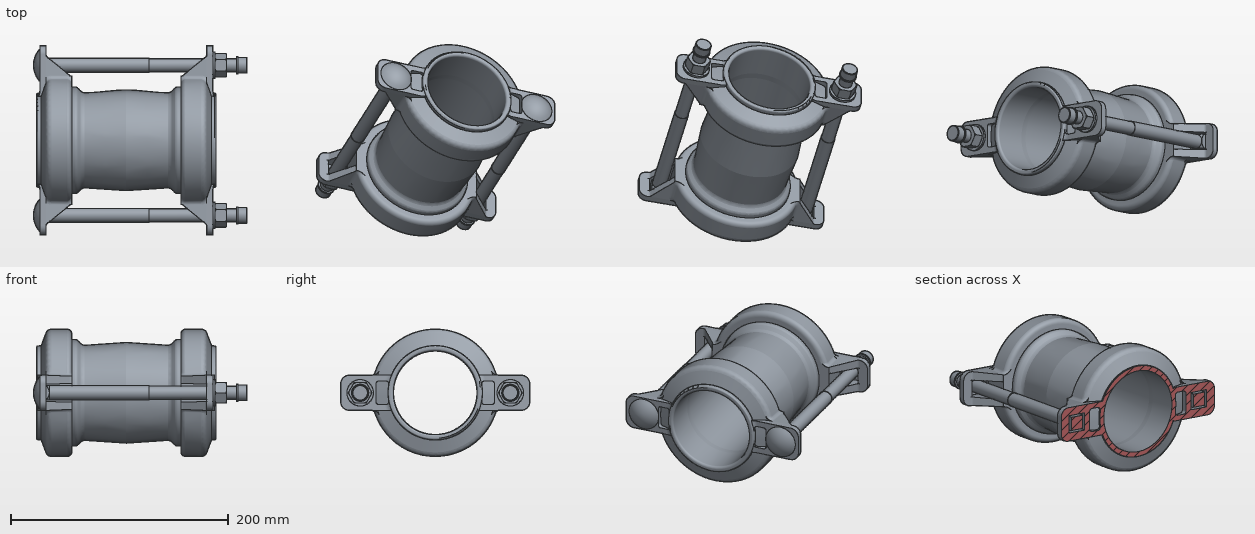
import cadquery as cq
import math


SLEEVE_HALF_LENGTH = 82.5
SLEEVE_END_RADIUS = 43.3
SLEEVE_END_ROUND = 1.5
SLEEVE_LIP_ROUND = 2.3
BODY_EDGE_X = 38.3
BODY_EDGE_RADIUS = 43.8
BODY_CROWN_RADIUS = 46.4
COLLAR_RADIUS = 49.1
COLLAR_EDGE_X = 45.65
COLLAR_EDGE_ROUND = 3.25
COLLAR_FOOT_ROUND = 5.0
END_BORE_RADIUS = 38.3
MID_BORE_RADIUS = 38.7
BORE_STEP_OUTER_X = 50.2
BORE_STEP_INNER_X = 44.0

RING_RADIUS = 58.58
RING_INNER_X = 50.0
RING_NECK_X = 78.3
RING_SHOULDER_X = 72.6
RING_NECK_RADIUS = 43.5
RING_CONE_ROUND = 5.5
RING_INNER_ROUND = 4.7

LUG_SPAN = 174.0
PLATE_OUTER_X = 79.5
PLATE_THICKNESS = 5.7
PLATE_HEIGHT = 32.4
PLATE_CORNER_RADIUS = 8.0
PLATE_INNER_X = PLATE_OUTER_X - PLATE_THICKNESS
LUG_ROOT_Y = 40.6
FLARE_RADIUS = 47.5
FLARE_HEIGHT = 1.5
WINDOW_INNER_Y = 42.8
WINDOW_OUTER_Y = 54.4
WINDOW_HEIGHT = 21.6
WINDOW_CORNER_RADIUS = 2.5
WEB_ROOT_Y = 59.0
WEB_TIP_Y = 77.4
WEB_END_X = RING_INNER_X + 1.2
WEB_CORNER_RADIUS = 3.0
WEB_TOP_AT_PLATE = PLATE_HEIGHT / 2
WEB_TOP_AT_END = 15.2
WEB_BOTTOM_AT_PLATE = 8.0
WEB_BOTTOM_AT_END = 8.6
WEB_BLEND_RADIUS = 4.0
BOLT_HOLE_LENGTH = 17.0
BOLT_HOLE_HEIGHT = 2 * WEB_BOTTOM_AT_PLATE

BOLT_Y = 69.0
HEAD_RADIUS = 15.0
HEAD_HEIGHT = 6.0
NECK_END_X = -70.8
SHANK_RADIUS = 6.5
THREAD_RADIUS = 6.1
THREAD_START_X = 20.6
WASHER_RADIUS = 12.2
WASHER_THICKNESS = 2.1
NUT_ACROSS_FLATS = 19.0
NUT_HEIGHT = 10.5
NUT_CHAMFER = 0.8
CAP_START_X = 101.2
CAP_RIM_WIDTH = 1.4
CAP_RIM_RADIUS = 7.9
CAP_RADIUS = 7.3
CAP_CHAMFER = 0.6
BOLT_END_X = 111.0

AXIS_START = (0, 0, 0)
AXIS_END = (1, 0, 0)


def turned(profile):
    """Revolve a closed (x, radius) profile about the X axis."""
    return profile.close().revolve(360, AXIS_START, AXIS_END)


def cylinder(start_x, end_x, radius):
    """Round bar centred on the X axis, between two stations along it."""
    return cq.Workplane("YZ", origin=(start_x, 0, 0)).circle(radius).extrude(end_x - start_x)


def circles_at(x):
    """Select the circular edges that lie at +x and -x along the sleeve axis."""
    margin = 0.05
    reach = RING_RADIUS

    def slice_at(center_x):
        return cq.selectors.BoxSelector(
            (center_x - margin, -reach, -reach), (center_x + margin, reach, reach), boundingbox=True
        )

    return slice_at(x) + slice_at(-x)


def make_sleeve():
    """Bored sleeve: bulged body, 45 degree collars under the rings, plain ends."""
    foot_x = COLLAR_EDGE_X - (COLLAR_RADIUS - BODY_EDGE_RADIUS)
    sleeve = turned(
        cq.Workplane("XY")
        .moveTo(-SLEEVE_HALF_LENGTH, 0)
        .lineTo(-SLEEVE_HALF_LENGTH, SLEEVE_END_RADIUS)
        .lineTo(-RING_INNER_X, SLEEVE_END_RADIUS)
        .lineTo(-RING_INNER_X, COLLAR_RADIUS)
        .lineTo(-COLLAR_EDGE_X, COLLAR_RADIUS)
        .lineTo(-foot_x, BODY_EDGE_RADIUS)
        .lineTo(-BODY_EDGE_X, BODY_EDGE_RADIUS)
        .spline([(0, BODY_CROWN_RADIUS)], tangents=[(1, 0), (1, 0)], includeCurrent=True)
        .spline([(BODY_EDGE_X, BODY_EDGE_RADIUS)], tangents=[(1, 0), (1, 0)], includeCurrent=True)
        .lineTo(foot_x, BODY_EDGE_RADIUS)
        .lineTo(COLLAR_EDGE_X, COLLAR_RADIUS)
        .lineTo(RING_INNER_X, COLLAR_RADIUS)
        .lineTo(RING_INNER_X, SLEEVE_END_RADIUS)
        .lineTo(SLEEVE_HALF_LENGTH, SLEEVE_END_RADIUS)
        .lineTo(SLEEVE_HALF_LENGTH, 0)
    )
    sleeve = sleeve.edges(circles_at(COLLAR_EDGE_X)).fillet(COLLAR_EDGE_ROUND)
    sleeve = sleeve.edges(circles_at(foot_x)).fillet(COLLAR_FOOT_ROUND)
    sleeve = sleeve.cut(make_bore())
    sleeve = sleeve.faces("<X or >X").edges(cq.selectors.RadiusNthSelector(-1)).fillet(SLEEVE_END_ROUND)
    return sleeve.faces("<X or >X").edges(cq.selectors.RadiusNthSelector(0)).fillet(SLEEVE_LIP_ROUND)


def make_bore():
    """Through bore that widens over a short taper towards the middle."""
    return turned(
        cq.Workplane("XY")
        .moveTo(-SLEEVE_HALF_LENGTH, 0)
        .lineTo(-SLEEVE_HALF_LENGTH, END_BORE_RADIUS)
        .lineTo(-BORE_STEP_OUTER_X, END_BORE_RADIUS)
        .lineTo(-BORE_STEP_INNER_X, MID_BORE_RADIUS)
        .lineTo(BORE_STEP_INNER_X, MID_BORE_RADIUS)
        .lineTo(BORE_STEP_OUTER_X, END_BORE_RADIUS)
        .lineTo(SLEEVE_HALF_LENGTH, END_BORE_RADIUS)
        .lineTo(SLEEVE_HALF_LENGTH, 0)
    )


def make_ring():
    """Clamp ring at the -X end, coned outside and rounded on both outer edges."""
    ring = turned(
        cq.Workplane("XY")
        .moveTo(-RING_NECK_X, 0)
        .lineTo(-RING_NECK_X, RING_NECK_RADIUS)
        .lineTo(-RING_SHOULDER_X, RING_RADIUS)
        .lineTo(-RING_INNER_X, RING_RADIUS)
        .lineTo(-RING_INNER_X, 0)
    )
    rim_edges = cq.selectors.RadiusNthSelector(-1)
    ring = ring.edges("%CIRCLE").edges(rim_edges).edges("<X").fillet(RING_CONE_ROUND)
    return ring.faces(">X").edges().fillet(RING_INNER_ROUND)


def make_flare():
    """Concave flare that leads the outer face of the +Y plate onto the sleeve."""
    rise = FLARE_RADIUS - SLEEVE_END_RADIUS
    arc_radius = (rise**2 + FLARE_HEIGHT**2) / (2 * FLARE_HEIGHT)
    arc_mid_radius = FLARE_RADIUS - rise / 2
    arc_mid_x = -PLATE_OUTER_X - arc_radius + math.sqrt(arc_radius**2 - (rise / 2) ** 2)
    flare_end_x = -PLATE_OUTER_X - FLARE_HEIGHT
    flare = turned(
        cq.Workplane("XY")
        .moveTo(-PLATE_OUTER_X, LUG_ROOT_Y)
        .lineTo(-PLATE_OUTER_X, FLARE_RADIUS)
        .threePointArc((arc_mid_x, arc_mid_radius), (flare_end_x, SLEEVE_END_RADIUS))
        .lineTo(flare_end_x, LUG_ROOT_Y)
    )
    footprint = (
        cq.Workplane("XY")
        .box(2 * FLARE_HEIGHT, FLARE_RADIUS, PLATE_HEIGHT)
        .translate((-PLATE_OUTER_X, FLARE_RADIUS / 2, 0))
    )
    return flare.intersect(footprint)


def make_plate():
    """Bolt plate on the +Y side, with a window beside the neck and a rectangular bolt hole."""
    plate_tip_y = LUG_SPAN / 2
    plate_length = plate_tip_y - LUG_ROOT_Y
    plate = (
        cq.Workplane("XY")
        .box(PLATE_THICKNESS, plate_length, PLATE_HEIGHT)
        .edges("|X and >Y")
        .fillet(PLATE_CORNER_RADIUS)
        .translate((-PLATE_OUTER_X + PLATE_THICKNESS / 2, LUG_ROOT_Y + plate_length / 2, 0))
    )
    window_depth = 2 * PLATE_THICKNESS
    window = (
        cq.Workplane("XY")
        .box(window_depth, WINDOW_OUTER_Y - WINDOW_INNER_Y, WINDOW_HEIGHT)
        .edges("|X")
        .fillet(WINDOW_CORNER_RADIUS)
        .translate((-PLATE_OUTER_X, (WINDOW_INNER_Y + WINDOW_OUTER_Y) / 2, 0))
    )
    bolt_hole = (
        cq.Workplane("XY")
        .box(PLATE_THICKNESS, BOLT_HOLE_LENGTH, BOLT_HOLE_HEIGHT)
        .translate((-PLATE_OUTER_X + PLATE_THICKNESS / 2, BOLT_Y, 0))
    )
    return plate.union(make_flare()).cut(window).cut(bolt_hole)


def make_webs():
    """Two drafted webs on the +Y side, bracing the plate tip against the ring."""
    outline = (
        cq.Workplane("XY", origin=(0, 0, -PLATE_HEIGHT / 2))
        .moveTo(-PLATE_OUTER_X, LUG_ROOT_Y)
        .lineTo(-PLATE_OUTER_X, LUG_SPAN / 2)
        .lineTo(-PLATE_INNER_X, LUG_SPAN / 2)
        .lineTo(-PLATE_INNER_X, WEB_TIP_Y)
        .lineTo(-WEB_END_X, WEB_ROOT_Y)
        .lineTo(-RING_INNER_X, WEB_ROOT_Y)
        .lineTo(-RING_INNER_X, LUG_ROOT_Y)
        .close()
        .extrude(PLATE_HEIGHT)
        .edges(cq.selectors.NearestToPointSelector((-PLATE_INNER_X, WEB_TIP_Y, 0)))
        .fillet(WEB_CORNER_RADIUS)
        .edges(cq.selectors.NearestToPointSelector((-WEB_END_X, WEB_ROOT_Y, 0)))
        .fillet(WEB_CORNER_RADIUS)
    )
    upper = (
        cq.Workplane("XZ")
        .moveTo(-PLATE_INNER_X, WEB_BOTTOM_AT_PLATE)
        .lineTo(-PLATE_INNER_X, WEB_TOP_AT_PLATE)
        .lineTo(-RING_INNER_X, WEB_TOP_AT_END)
        .lineTo(-RING_INNER_X, WEB_BOTTOM_AT_END)
        .close()
        .extrude(-LUG_SPAN / 2)
    )
    return outline.intersect(upper.union(upper.mirror("XY")))


def make_lug_floor():
    """Flat-faced block that closes the space between the webs at the ring."""
    length = PLATE_INNER_X - RING_INNER_X
    depth = WEB_ROOT_Y - LUG_ROOT_Y
    return (
        cq.Workplane("XY")
        .box(length, depth, 2 * WEB_BOTTOM_AT_END)
        .translate((-RING_INNER_X - length / 2, LUG_ROOT_Y + depth / 2, 0))
    )


def blend_webs(body):
    """Concave blend where the outer web faces run into the rim of the ring."""
    rim_band = 8.0
    margin = 1.0
    near_x = -PLATE_OUTER_X
    far_x = -RING_INNER_X - RING_INNER_ROUND / 2
    near_y, far_y = RING_RADIUS - rim_band, RING_RADIUS - margin
    near_z, far_z = WEB_TOP_AT_END - margin, WEB_TOP_AT_PLATE + margin
    for side in (-1, 1):
        for level in (-1, 1):
            corner = (near_x, side * near_y, level * near_z)
            opposite = (far_x, side * far_y, level * far_z)
            zone = cq.selectors.BoxSelector(corner, opposite, boundingbox=True)
            body = body.edges(zone).edges("not %LINE").fillet(WEB_BLEND_RADIUS)
    return body


def make_clamp():
    """Ring at the -X end with its lugs on both sides."""
    webs = make_webs()
    clamp = blend_webs(make_ring().union(webs).union(webs.mirror("XZ")))
    lug = make_plate().union(make_lug_floor())
    return clamp.union(lug).union(lug.mirror("XZ")).cut(make_bore())


def make_bolt():
    """Cup-headed bolt along X with square neck, washer, nut and end cap."""
    head_x = -PLATE_OUTER_X
    dome_radius = (HEAD_RADIUS**2 + HEAD_HEIGHT**2) / (2 * HEAD_HEIGHT)
    dome_mid_radius = HEAD_RADIUS / 2
    dome_center_x = head_x - HEAD_HEIGHT + dome_radius
    dome_mid_x = dome_center_x - math.sqrt(dome_radius**2 - dome_mid_radius**2)
    head = turned(
        cq.Workplane("XY")
        .moveTo(head_x - HEAD_HEIGHT, 0)
        .threePointArc((dome_mid_x, dome_mid_radius), (head_x, HEAD_RADIUS))
        .lineTo(head_x, 0)
    )

    neck_length = NECK_END_X + PLATE_OUTER_X
    neck_side = 2 * SHANK_RADIUS
    neck_corner_radius = SHANK_RADIUS * math.sqrt(2)
    neck = cq.Workplane("YZ", origin=(head_x, 0, 0)).rect(neck_side, neck_side).extrude(neck_length)
    neck_cone = cylinder(head_x, NECK_END_X, neck_corner_radius).faces(">X").chamfer(
        neck_corner_radius - SHANK_RADIUS
    )
    neck = neck.intersect(neck_cone)

    shank = cylinder(head_x, THREAD_START_X, SHANK_RADIUS)
    thread = cylinder(THREAD_START_X, CAP_START_X, THREAD_RADIUS)

    nut_x = PLATE_OUTER_X + WASHER_THICKNESS
    nut_corner_radius = NUT_ACROSS_FLATS / math.sqrt(3)
    washer = cylinder(PLATE_OUTER_X, nut_x, WASHER_RADIUS)
    nut = cq.Workplane("YZ", origin=(nut_x, 0, 0)).polygon(6, 2 * nut_corner_radius).extrude(NUT_HEIGHT)
    nut_cone = cylinder(nut_x, nut_x + NUT_HEIGHT, nut_corner_radius).faces("<X or >X").chamfer(NUT_CHAMFER)
    nut = nut.intersect(nut_cone)

    rim = cylinder(CAP_START_X, CAP_START_X + CAP_RIM_WIDTH, CAP_RIM_RADIUS)
    cap = cylinder(CAP_START_X, BOLT_END_X, CAP_RADIUS).faces(">X").chamfer(CAP_CHAMFER)

    bolt = head
    for piece in (neck, shank, thread, washer, nut, rim, cap):
        bolt = bolt.union(piece)
    return bolt


clamp = make_clamp()
result = make_sleeve().union(clamp).union(clamp.mirror("YZ"))
bolt = make_bolt()
for side in (-1, 1):
    result = result.union(bolt.translate((0, side * BOLT_Y, 0)))